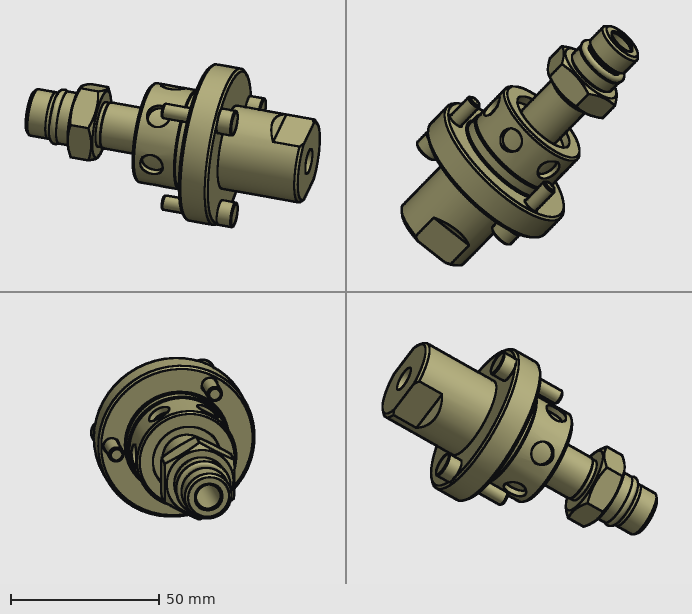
import cadquery as cq
import math

overall_length = 97.6
bore_dia = 8.5

thread_dia = 16.0
thread_length = 8.5
thread_root_dia = 13.5
thread_chamfer = 1.0
bore_chamfer = 0.5
seal_center_x = 10.0
seal_center_dia = 16.0
seal_section_dia = 2.7
seat_dia = 18.0
seat_chamfer = 0.5
hex_start = 16.0
hex_length = 8.8
hex_across_flats = 23.8
hex_face_dia = 22.8
hex_chamfer_length = 1.3
relief_dia = 15.3
relief_end = 26.4
shank_dia = 15.8

sleeve_start = 40.3
sleeve_dia = 34.1
sleeve_chamfer = 0.8
ring_start = 55.1
ring_dia = 34.8
ring_chamfer = 0.5
collar_start = 59.0
collar_dia = 35.8
flange_start = 59.4
flange_thickness = 10.2
flange_dia = 53.7
flange_chamfer = 0.9
rear_dia = 28.6
rear_chamfer = 1.0
wrench_across_flats = 23.8
wrench_flat_start = 87.4
recess_dia = 23.4
recess_depth = 3.0

socket_count = 6
socket_dia = 7.9
socket_floor_dia = 29.5
socket_x = 47.2

screw_count = 3
screw_circle_dia = 45.0
screw_dia = 5.0
screw_tip_x = 49.7
screw_tip_chamfer = 0.5
screw_hole_dia = 5.5
head_dia = 8.5
head_length = 5.1
head_chamfer = 0.3

flange_end = flange_start + flange_thickness
recess_end = sleeve_start + recess_depth
hex_end = hex_start + hex_length


def rod(start, end, diameter):
    """Solid cylinder along X."""
    return cq.Workplane("YZ", origin=(start, 0, 0)).circle(diameter / 2).extrude(end - start)


def turned(profile):
    """Solid of revolution about X from (x, diameter) points, closed along the axis."""
    points = [(x, diameter / 2) for x, diameter in profile]
    outline = [(points[0][0], 0)] + points + [(points[-1][0], 0)]
    return cq.Workplane("XY").polyline(outline).close().revolve(360, (0, 0, 0), (1, 0, 0))


def hexagon():
    """Hexagon with two corners on the Z axis and both ends chamfered."""
    corner_dia = hex_across_flats / math.cos(math.pi / 6)
    prism = (
        cq.Workplane("YZ", origin=(hex_start, 0, 0))
        .transformed(rotate=(0, 0, 90))
        .polygon(6, corner_dia)
        .extrude(hex_length)
    )
    envelope = turned([
        (hex_start, hex_face_dia),
        (hex_start + hex_chamfer_length, corner_dia),
        (hex_end - hex_chamfer_length, corner_dia),
        (hex_end, hex_face_dia),
    ])
    return prism.intersect(envelope)


def sealing_ring():
    """Round-section ring in front of the hexagon seat."""
    return (
        cq.Workplane("XY", origin=(seal_center_x, seal_center_dia / 2, 0))
        .circle(seal_section_dia / 2)
        .revolve(360, (0, -seal_center_dia / 2, 0), (1, -seal_center_dia / 2, 0))
    )


def make_stem():
    """Hollow stem whose shank stands on the floor of the housing recess."""
    seat_start = seal_center_x + seal_section_dia / 2
    shank_chamfer = (shank_dia - relief_dia) / 2
    body = turned([
        (0, thread_dia - 2 * thread_chamfer),
        (thread_chamfer, thread_dia),
        (thread_length - (thread_dia - thread_root_dia) / 2, thread_dia),
        (thread_length, thread_root_dia),
        (seal_center_x, thread_root_dia),
        (seal_center_x, seal_center_dia),
        (seat_start, seal_center_dia),
        (seat_start, seat_dia),
        (hex_start - seat_chamfer, seat_dia),
        (hex_start, seat_dia - 2 * seat_chamfer),
        (hex_end, relief_dia),
        (relief_end, relief_dia),
        (relief_end + shank_chamfer, shank_dia),
        (recess_end, shank_dia),
    ])
    bore_mouth = turned([(0, bore_dia + 2 * bore_chamfer), (bore_chamfer, bore_dia)])
    return body.union(sealing_ring()).union(hexagon()).cut(rod(0, recess_end, bore_dia)).cut(bore_mouth)


def wrench_flat_cutter():
    """Material above the upper wrench flat, with a 45 degree run-out."""
    flat_z = wrench_across_flats / 2
    cut_height = rear_dia / 2
    return (
        cq.Workplane("XZ")
        .polyline([
            (wrench_flat_start, flat_z),
            (overall_length, flat_z),
            (overall_length, flat_z + cut_height),
            (wrench_flat_start - cut_height, flat_z + cut_height),
        ])
        .close()
        .extrude(rear_dia / 2, both=True)
    )


def socket(index):
    """Material of one radial socket, whose floor is a cylinder about the X axis."""
    angle = index * 360 / socket_count
    drill = cq.Workplane("XZ", origin=(socket_x, 0, 0)).circle(socket_dia / 2).extrude(sleeve_dia)
    core = rod(socket_x - socket_dia, socket_x + socket_dia, socket_floor_dia)
    return drill.cut(core).rotate((0, 0, 0), (1, 0, 0), angle)


def screw(angle):
    """Screw with its head on the rear of the flange, at an angle from +Y about X."""
    head_end = flange_end + head_length
    blank = turned([
        (screw_tip_x, screw_dia - 2 * screw_tip_chamfer),
        (screw_tip_x + screw_tip_chamfer, screw_dia),
        (flange_end, screw_dia),
        (flange_end, head_dia),
        (head_end - head_chamfer, head_dia),
        (head_end, head_dia - 2 * head_chamfer),
    ])
    return blank.translate((0, screw_circle_dia / 2, 0)).rotate((0, 0, 0), (1, 0, 0), angle)


def make_housing():
    """Sleeve, flange and rear connector in one piece, carrying the flange screws."""
    body = turned([
        (sleeve_start, sleeve_dia - 2 * sleeve_chamfer),
        (sleeve_start + sleeve_chamfer, sleeve_dia),
        (ring_start, sleeve_dia),
        (ring_start + ring_chamfer, ring_dia),
        (collar_start, ring_dia),
        (collar_start, collar_dia),
        (flange_start, collar_dia),
        (flange_start, flange_dia - 2 * flange_chamfer),
        (flange_start + flange_chamfer, flange_dia),
        (flange_end - flange_chamfer, flange_dia),
        (flange_end, flange_dia - 2 * flange_chamfer),
        (flange_end, rear_dia),
        (overall_length - rear_chamfer, rear_dia),
        (overall_length, rear_dia - 2 * rear_chamfer),
    ])
    flat = wrench_flat_cutter()
    body = body.cut(flat).cut(flat.mirror("XY"))
    body = body.cut(rod(sleeve_start, recess_end, recess_dia)).cut(rod(recess_end, overall_length, bore_dia))
    for index in range(socket_count):
        body = body.cut(socket(index))
    for index in range(screw_count):
        angle = index * 360 / screw_count
        clearance = rod(flange_start, flange_end, screw_hole_dia).translate((0, screw_circle_dia / 2, 0))
        body = body.cut(clearance.rotate((0, 0, 0), (1, 0, 0), angle)).union(screw(angle))
    return body


stem = make_stem()
housing = make_housing()

result = cq.Compound.makeCompound([stem.val(), housing.val()])